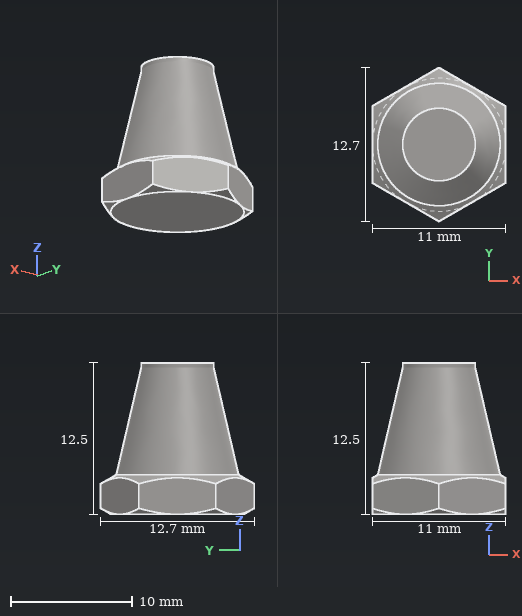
import cadquery as cq
import math

across_corners = 12.7
corner_radius = across_corners / 2
flat_radius = corner_radius * math.cos(math.radians(30))
base_height = 3.26
chamfer_slope = math.tan(math.radians(30))

total_height = 12.5
stem_bottom_radius = 5.05
stem_top_radius = 3.0
tip_height = 0.4

top_chamfer_drop = (corner_radius - stem_bottom_radius) * chamfer_slope
bottom_chamfer_rise = (corner_radius - flat_radius) * chamfer_slope


def revolve_profile(points):
    """Revolve a closed (radius, height) outline about the Z axis."""
    return cq.Workplane("XZ").polyline(points).close().revolve(360, (0, 0, 0), (0, 1, 0))


def make_base():
    """Hexagon with corners on the Y axis, trimmed by a chamfered disc."""
    hexagon = cq.Workplane("XY").polygon(6, across_corners).extrude(base_height)
    hexagon = hexagon.rotate((0, 0, 0), (0, 0, 1), 90)
    chamfered_disc = revolve_profile([
        (0, 0),
        (flat_radius, 0),
        (corner_radius, bottom_chamfer_rise),
        (corner_radius, base_height - top_chamfer_drop),
        (stem_bottom_radius, base_height),
        (0, base_height),
    ])
    return hexagon.intersect(chamfered_disc)


def make_stem():
    """Cone rising from the base, ending in a short cylindrical tip."""
    return revolve_profile([
        (0, base_height),
        (stem_bottom_radius, base_height),
        (stem_top_radius, total_height - tip_height),
        (stem_top_radius, total_height),
        (0, total_height),
    ])


result = make_base().union(make_stem())